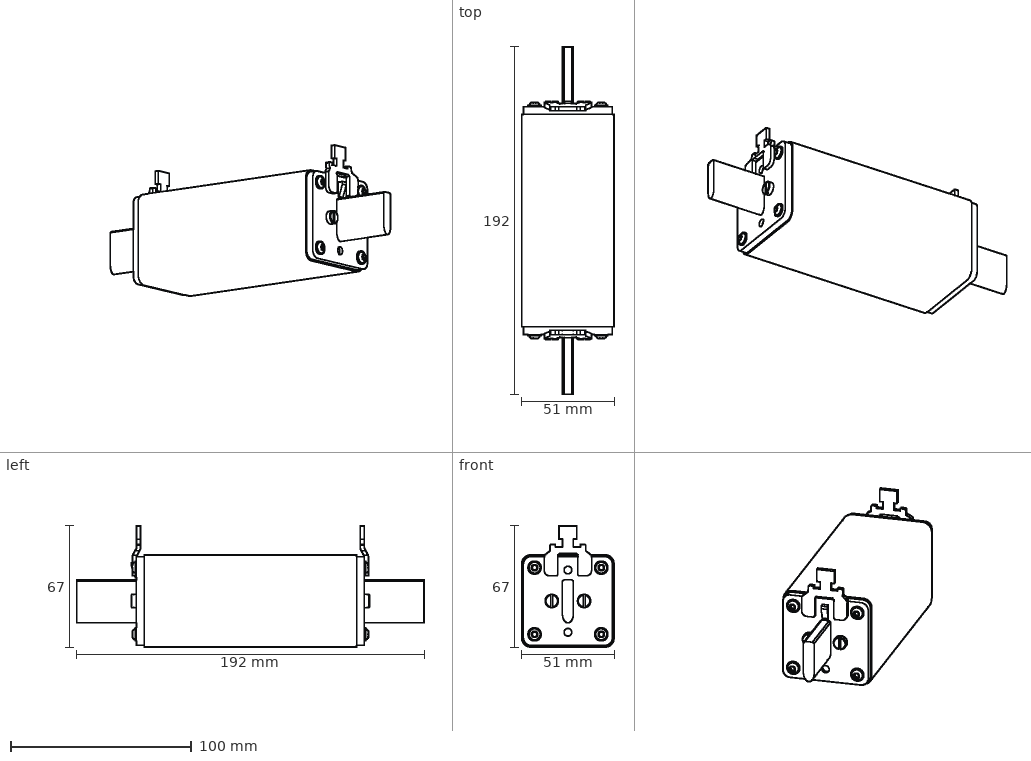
import cadquery as cq


overall_length = 192.0

body_width = 51.0
body_length = 117.5
body_corner_radius = 5.2
cap_width = 49.2
cap_face = 63.0
cap_corner_radius = body_corner_radius - (body_width - cap_width) / 2

blade_half_width = 3.0
blade_top = 11.7
blade_side_bottom = -7.0
blade_tip = -12.0
blade_chamfer_width = 1.0
blade_chamfer_height = 0.8

corner_screw_spacing = 36.9
washer_radius = 3.6
washer_thickness = 0.8
corner_head_radius = 3.0
corner_head_top_radius = 1.7
corner_head_height = 2.3
corner_head_crown_radius = 3.8
socket_across_corners = 2.9
socket_depth = 1.5

slotted_screw_spacing = 17.9
slotted_head_radius = 3.6
slotted_head_height = 2.9
slotted_head_chamfer = 0.4
slot_width = 1.2
slot_depth = 1.3

hole_radius = 2.1
hole_depth = 2.0
upper_hole_z = 17.0
lower_hole_z = -17.3

lug_top = 41.5
lug_thickness = 2.3
lug_half_width = 13.0
lug_bottom = 13.8
tab_inner_x = 5.5
tab_outer_radius = 3.0
tab_inner_chamfer = 0.5
tab_slot_top = 26.1
tab_slot_corner = 1.0
shoulder_bottom = 25.2
shoulder_slope_bottom = 26.0
shoulder_slope_top = 27.6
plate_half_width = 10.0
plate_top = 30.0
prong_inner_x = 7.0
prong_top = 31.3
prong_chamfer = 0.5
neck_half_width = 3.0
head_half_width = 5.0
head_bottom = 34.2
bend_bottom = 24.8
bend_rise = 4.2
bend_outer_radius = 3.0
bend_inner_radius = bend_outer_radius - lug_thickness
bend_stagger = 0.5

indicator_width = 3.5
indicator_bottom = 12.9
indicator_lip_bottom = 19.5
indicator_top = 21.1
indicator_low_height = 0.5
indicator_high_height = 2.9


def front_plane(height=0.0):
    """Plane on the front cap face, raised outward by height; local x is X and local y is Z."""
    return cq.Workplane("XZ", origin=(0, -cap_face - height, 0))


def on_both_ends(front):
    return front.union(front.mirror("XZ"))


def rounded_bar(width, length, radius):
    return cq.Workplane("XY").box(width, length, width).edges("|Y").fillet(radius)


def make_blade():
    flat_half_width = blade_half_width - blade_chamfer_width
    return (
        cq.Workplane("XZ")
        .moveTo(blade_half_width, blade_side_bottom)
        .lineTo(blade_half_width, blade_top - blade_chamfer_height)
        .lineTo(flat_half_width, blade_top)
        .lineTo(-flat_half_width, blade_top)
        .lineTo(-blade_half_width, blade_top - blade_chamfer_height)
        .lineTo(-blade_half_width, blade_side_bottom)
        .ellipseArc(
            blade_side_bottom - blade_tip,
            blade_half_width,
            angle1=90,
            angle2=270,
            rotation_angle=90,
            startAtCurrent=True,
        )
        .close()
        .extrude(overall_length / 2, both=True)
    )


def make_corner_screws():
    """Domed heads on washers, each with a hexagon socket."""
    head = (
        cq.Workplane("XY")
        .lineTo(washer_radius, 0)
        .lineTo(washer_radius, washer_thickness)
        .lineTo(corner_head_radius, washer_thickness)
        .radiusArc((corner_head_top_radius, corner_head_height), -corner_head_crown_radius)
        .lineTo(0, corner_head_height)
        .close()
        .revolve(360, (0, 0), (0, 1))
        .rotate((0, 0, 0), (1, 0, 0), 180)
        .translate((0, -cap_face, 0))
    )
    socket = front_plane(corner_head_height).polygon(6, socket_across_corners).extrude(-socket_depth)
    screw = head.cut(socket)
    screws = cq.Workplane("XY")
    for x in (-corner_screw_spacing / 2, corner_screw_spacing / 2):
        for z in (-corner_screw_spacing / 2, corner_screw_spacing / 2):
            screws = screws.union(screw.translate((x, 0, z)))
    return screws


def make_slotted_screws():
    centres = [(-slotted_screw_spacing / 2, 0), (slotted_screw_spacing / 2, 0)]
    heads = (
        front_plane()
        .pushPoints(centres)
        .circle(slotted_head_radius)
        .extrude(slotted_head_height)
        .faces("<Y")
        .chamfer(slotted_head_chamfer)
    )
    slots = (
        front_plane(slotted_head_height)
        .pushPoints(centres)
        .rect(slot_width, 2 * slotted_head_radius)
        .extrude(-slot_depth)
    )
    return heads.cut(slots)


def make_lug():
    """Bent side profile, trimmed to the outline seen face-on."""
    inner_y = -cap_face
    outer_y = inner_y - lug_thickness
    head_inner_y = inner_y + lug_thickness
    inner_bend_z = bend_bottom - bend_stagger / 2
    outer_bend_z = bend_bottom + bend_stagger / 2
    bent_plate = (
        cq.Workplane("YZ")
        .polyline(
            [
                (inner_y, lug_bottom),
                (inner_y, inner_bend_z),
                (head_inner_y, inner_bend_z + bend_rise),
                (head_inner_y, lug_top),
                (inner_y, lug_top),
                (inner_y, outer_bend_z + bend_rise),
                (outer_y, outer_bend_z),
                (outer_y, lug_bottom),
            ]
        )
        .close()
        .extrude(lug_half_width, both=True)
    )
    convex_bends = [(outer_y, outer_bend_z), (head_inner_y, inner_bend_z + bend_rise)]
    concave_bends = [(inner_y, inner_bend_z), (inner_y, outer_bend_z + bend_rise)]
    for bends, radius in ((convex_bends, bend_outer_radius), (concave_bends, bend_inner_radius)):
        for y, z in bends:
            bent_plate = bent_plate.edges(cq.NearestToPointSelector((0, y, z))).fillet(radius)
    half_outline = (
        front_plane(lug_thickness)
        .moveTo(0, lug_top)
        .lineTo(head_half_width, lug_top)
        .lineTo(head_half_width, head_bottom)
        .lineTo(neck_half_width, head_bottom)
        .lineTo(neck_half_width, plate_top)
        .lineTo(prong_inner_x, plate_top)
        .lineTo(prong_inner_x, prong_top)
        .lineTo(plate_half_width - prong_chamfer, prong_top)
        .lineTo(plate_half_width, prong_top - prong_chamfer)
        .lineTo(plate_half_width, shoulder_slope_top)
        .lineTo(lug_half_width - (shoulder_slope_bottom - shoulder_bottom), shoulder_slope_bottom)
        .lineTo(lug_half_width, shoulder_bottom)
        .lineTo(lug_half_width, lug_bottom + tab_outer_radius)
        .radiusArc((lug_half_width - tab_outer_radius, lug_bottom), tab_outer_radius)
        .lineTo(tab_inner_x + tab_inner_chamfer, lug_bottom)
        .lineTo(tab_inner_x, lug_bottom + tab_inner_chamfer)
        .lineTo(tab_inner_x, tab_slot_top - tab_slot_corner)
        .lineTo(tab_inner_x - tab_slot_corner, tab_slot_top)
        .lineTo(0, tab_slot_top)
        .close()
        .extrude(-2 * lug_thickness)
    )
    outline = half_outline.union(half_outline.mirror("YZ"))
    return bent_plate.intersect(outline)


def make_indicator():
    return (
        cq.Workplane("YZ")
        .polyline(
            [
                (cap_face, indicator_bottom),
                (cap_face + indicator_low_height, indicator_bottom),
                (cap_face + indicator_high_height, indicator_lip_bottom),
                (cap_face + indicator_high_height, indicator_top),
                (cap_face, indicator_top),
            ]
        )
        .close()
        .extrude(indicator_width / 2, both=True)
    )


def make_hole(z):
    return front_plane().center(0, z).circle(hole_radius).extrude(-hole_depth)


body = rounded_bar(body_width, body_length, body_corner_radius)
caps = rounded_bar(cap_width, 2 * cap_face, cap_corner_radius)
end_fittings = make_corner_screws().union(make_slotted_screws()).union(make_lug())

result = (
    body.union(caps)
    .cut(on_both_ends(make_hole(lower_hole_z)))
    .cut(make_hole(upper_hole_z))
    .union(make_blade())
    .union(on_both_ends(end_fittings))
    .union(make_indicator())
)